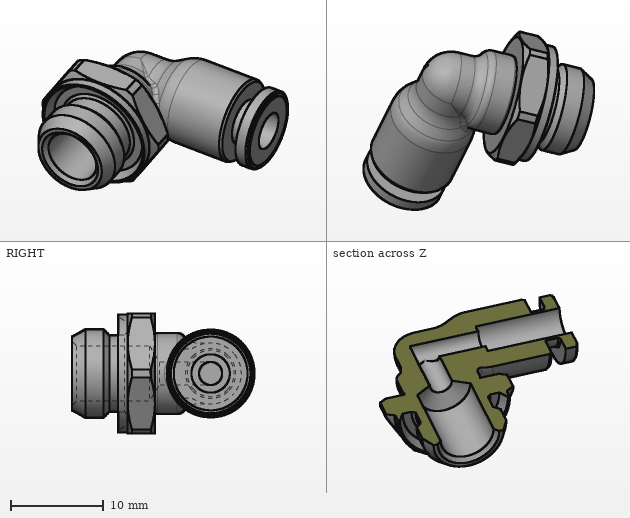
import cadquery as cq
import math


overall_length = 23.35
overall_depth = 19.75

elbow_radius = 3.32
seam_fillet = 0.5

port_body_radius = 8.8 / 2
port_blend_start = -1.59
port_concave_radius = 1.5
port_convex_radius = 0.98
port_body_end = -6.0
port_end_chamfer_length = 0.23
port_end_chamfer_depth = 0.07

tube_body_radius = 9.5 / 2
tube_blend_end = 6.2
tube_blend_radius = 3.15
tube_blend_angle = math.radians(29)
tube_body_end = 12.95
tube_chamfer_length = 0.3
tube_chamfer_depth = 0.19

ring_neck_radius = 5.05 / 2
ring_radius = 9.0 / 2
ring_start = 14.57
ring_flare = 0.19
ring_lip_height = 0.1
ring_chamfer = 0.19
ring_lip_radius = 4.0

hex_sides = 6
hex_across_flats = 13.0
hex_corner_radius = 7.26
hex_face_radius = 6.45
hex_chamfer_angle = math.radians(30)
hex_height = 3.0

collar_radius = 12.8 / 2
collar_height = 1.0
recess_mouth_radius = 6.16
recess_floor_radius = 5.5
recess_depth = 0.98
flare_radius = 4.5
flare_length = 0.28

spigot_neck_radius = 8.3 / 2
spigot_radius = 9.6 / 2
spigot_tip_radius = 4.0
spigot_tip_length = 1.45
spigot_shoulder = -10.95

bore_mouth_radius = 3.5
bore_radius = 6.0 / 2
bore_depth = 8.4
bore_cone_angle = math.radians(59)
passage_radius = 2.5 / 2
socket_radius = 4.15 / 2
socket_floor = 6.54

hex_start = port_body_end - hex_height
collar_face = hex_start - collar_height
spigot_end = tube_body_radius - overall_depth
ring_end = overall_length - hex_corner_radius
ring_face = ring_end - ring_lip_height
full_turn = 360


def revolve_about_x(profile):
    return profile.close().revolve(full_turn, (0, 0, 0), (1, 0, 0))


def revolve_about_y(profile):
    return profile.close().revolve(full_turn, (0, 0, 0), (0, 1, 0))


def arc_midpoint(radius, angle):
    """Axial and radial distance from the tangent end of an arc to its midpoint."""
    return radius * math.sin(angle / 2), radius * (1 - math.cos(angle / 2))


def port_body():
    rise = port_body_radius - elbow_radius
    angle = math.acos(1 - rise / (port_concave_radius + port_convex_radius))
    joint_r = elbow_radius + port_concave_radius * (1 - math.cos(angle))
    joint_y = port_blend_start - port_concave_radius * math.sin(angle)
    blend_end = joint_y - port_convex_radius * math.sin(angle)
    concave_along, concave_out = arc_midpoint(port_concave_radius, angle)
    convex_along, convex_in = arc_midpoint(port_convex_radius, angle)
    return revolve_about_y(
        cq.Workplane("XY")
        .moveTo(0, 0)
        .lineTo(elbow_radius, 0)
        .lineTo(elbow_radius, port_blend_start)
        .threePointArc((elbow_radius + concave_out, port_blend_start - concave_along), (joint_r, joint_y))
        .threePointArc((port_body_radius - convex_in, blend_end + convex_along), (port_body_radius, blend_end))
        .lineTo(port_body_radius, port_body_end + port_end_chamfer_length)
        .lineTo(port_body_radius - port_end_chamfer_depth, port_body_end)
        .lineTo(0, port_body_end)
    )


def tube_body():
    arc_length = tube_blend_radius * math.sin(tube_blend_angle)
    arc_rise = tube_blend_radius * (1 - math.cos(tube_blend_angle))
    cone_rise = tube_body_radius - elbow_radius - 2 * arc_rise
    cone_end = tube_blend_end - arc_length
    cone_start = cone_end - cone_rise / math.tan(tube_blend_angle)
    blend_start = cone_start - arc_length
    along, out = arc_midpoint(tube_blend_radius, tube_blend_angle)
    return revolve_about_x(
        cq.Workplane("XY")
        .moveTo(0, 0)
        .lineTo(0, elbow_radius)
        .lineTo(blend_start, elbow_radius)
        .threePointArc((blend_start + along, elbow_radius + out), (cone_start, elbow_radius + arc_rise))
        .lineTo(cone_end, tube_body_radius - arc_rise)
        .threePointArc((tube_blend_end - along, tube_body_radius - out), (tube_blend_end, tube_body_radius))
        .lineTo(tube_body_end - tube_chamfer_length, tube_body_radius)
        .lineTo(tube_body_end, tube_body_radius - tube_chamfer_depth)
        .lineTo(tube_body_end, 0)
    )


def elbow():
    """Both bodies and the ball at their corner, with the inside seam rounded."""
    bodies = port_body().union(tube_body())
    seam = bodies.edges("%BSPLINE or %ELLIPSE")
    rounded = seam.fillet(seam_fillet)
    ball = cq.Workplane("XY").sphere(elbow_radius)
    return rounded.union(ball)


def release_ring():
    return revolve_about_x(
        cq.Workplane("XY")
        .moveTo(tube_body_end, 0)
        .lineTo(tube_body_end, ring_neck_radius)
        .lineTo(ring_start - ring_flare, ring_neck_radius)
        .lineTo(ring_start, ring_neck_radius + ring_flare)
        .lineTo(ring_start, ring_radius)
        .lineTo(ring_face - ring_chamfer, ring_radius)
        .lineTo(ring_face, ring_radius - ring_chamfer)
        .lineTo(ring_face, ring_lip_radius)
        .lineTo(ring_end, ring_lip_radius)
        .lineTo(ring_end, 0)
    )


def hexagon():
    """Hexagon with flats facing +Z and -Z, trimmed by a double-chamfered disc."""
    across_corners = hex_across_flats / math.cos(math.pi / hex_sides)
    prism = (
        cq.Workplane("XZ", origin=(0, port_body_end, 0))
        .polygon(hex_sides, across_corners)
        .extrude(hex_height)
    )
    chamfer_height = (hex_corner_radius - hex_face_radius) * math.tan(hex_chamfer_angle)
    disc = revolve_about_y(
        cq.Workplane("XY")
        .moveTo(0, port_body_end)
        .lineTo(hex_face_radius, port_body_end)
        .lineTo(hex_corner_radius, port_body_end - chamfer_height)
        .lineTo(hex_corner_radius, hex_start + chamfer_height)
        .lineTo(hex_face_radius, hex_start)
        .lineTo(0, hex_start)
    )
    return prism.intersect(disc)


def collar_and_spigot():
    recess_floor = collar_face + recess_depth
    shoulder_length = spigot_radius - spigot_neck_radius
    return revolve_about_y(
        cq.Workplane("XY")
        .moveTo(0, hex_start)
        .lineTo(collar_radius, hex_start)
        .lineTo(collar_radius, collar_face)
        .lineTo(recess_mouth_radius, collar_face)
        .lineTo(recess_floor_radius, recess_floor)
        .lineTo(flare_radius, recess_floor)
        .lineTo(spigot_neck_radius, recess_floor - flare_length)
        .lineTo(spigot_neck_radius, spigot_shoulder)
        .lineTo(spigot_radius, spigot_shoulder - shoulder_length)
        .lineTo(spigot_radius, spigot_end + spigot_tip_length)
        .lineTo(spigot_tip_radius, spigot_end)
        .lineTo(0, spigot_end)
    )


def port_bore():
    """Countersunk bore with a conical floor leading into the narrow passage."""
    mouth_depth = bore_mouth_radius - bore_radius
    cone_start = spigot_end + bore_depth
    cone_end = cone_start + (bore_radius - passage_radius) / math.tan(bore_cone_angle)
    return revolve_about_y(
        cq.Workplane("XY")
        .moveTo(0, spigot_end)
        .lineTo(bore_mouth_radius, spigot_end)
        .lineTo(bore_radius, spigot_end + mouth_depth)
        .lineTo(bore_radius, cone_start)
        .lineTo(passage_radius, cone_end)
        .lineTo(passage_radius, 0)
        .lineTo(0, 0)
    )


def tube_bore():
    """Tube socket through the release ring, narrowing to the passage that crosses the port axis."""
    return revolve_about_x(
        cq.Workplane("XY")
        .moveTo(-passage_radius, 0)
        .lineTo(-passage_radius, passage_radius)
        .lineTo(socket_floor, passage_radius)
        .lineTo(socket_floor, socket_radius)
        .lineTo(ring_end, socket_radius)
        .lineTo(ring_end, 0)
    )


result = (
    elbow()
    .union(release_ring())
    .union(hexagon())
    .union(collar_and_spigot())
    .cut(port_bore())
    .cut(tube_bore())
)